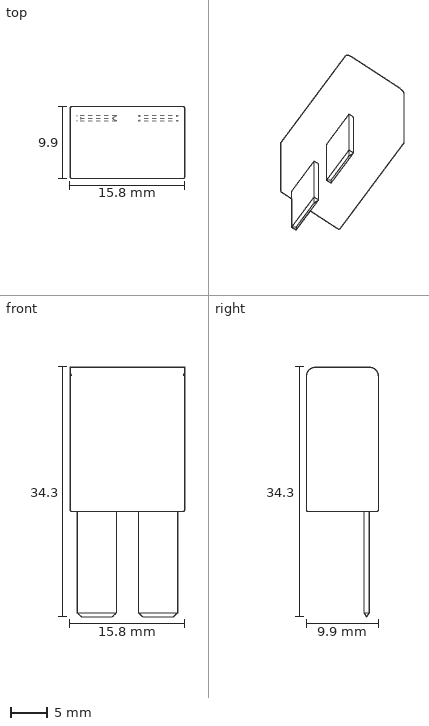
import cadquery as cq

total_height = 34.3
housing_width = 15.75
housing_depth = 9.9
housing_height = 19.82
top_radius = 1.27
edge_radius = 0.25

blade_width = 5.42
blade_thickness = 0.75
blade_spacing = 8.4
blade_y = 3.33
blade_length = total_height - housing_height

tip_height = 0.6
tip_inset = 0.62


def make_housing():
    """Block with small rounded edges and large rounds along its top long edges."""
    block = (
        cq.Workplane("XY")
        .box(housing_width, housing_depth, housing_height, centered=(True, True, False))
        .edges("|Z or <Z")
        .fillet(edge_radius)
    )
    rounded_envelope = (
        cq.Workplane("XY")
        .box(housing_width, housing_depth, housing_height, centered=(True, True, False))
        .edges(">Z and |X")
        .fillet(top_radius)
    )
    return block.intersect(rounded_envelope)


def tapered_profile(plane, width, inset):
    """Centred strip hanging below Z = 0, narrowed by the inset on each side at its tip."""
    half_width = width / 2
    half_tip = half_width - inset
    shoulder_z = tip_height - blade_length
    outline = cq.Workplane(plane).moveTo(-half_width, 0).lineTo(-half_width, shoulder_z)
    outline = outline.lineTo(-half_tip, -blade_length)
    if half_tip > 0:
        outline = outline.lineTo(half_tip, -blade_length)
    return outline.lineTo(half_width, shoulder_z).lineTo(half_width, 0).close()


def make_blade():
    """Blade centred on X and Y, common to its wide-face and edge-on profiles."""
    wide_face = tapered_profile("XZ", blade_width, tip_inset).extrude(blade_thickness, both=True)
    edge_on = tapered_profile("YZ", blade_thickness, blade_thickness / 2).extrude(blade_width, both=True)
    return wide_face.intersect(edge_on)


result = make_housing()
blade = make_blade()
for side in (-1, 1):
    result = result.union(blade.translate((side * blade_spacing / 2, blade_y, 0)))